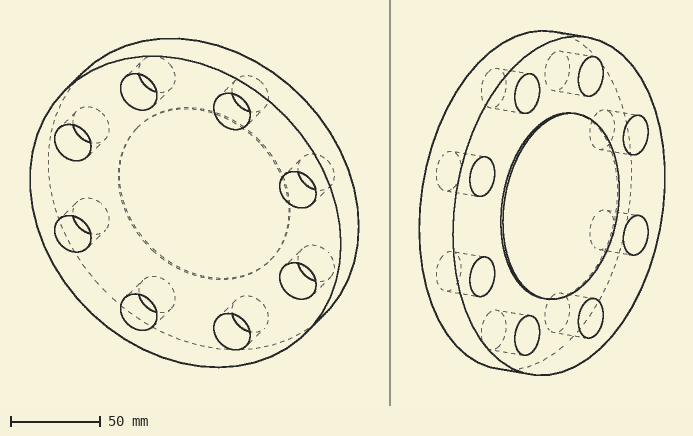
import cadquery as cq

flange_diameter = 190.5
total_thickness = 25.5
raised_face_diameter = 104.5
raised_face_height = 1.5
bolt_circle_diameter = 149.2
bolt_hole_diameter = 22.3
bolt_hole_count = 8

disc_thickness = total_thickness - raised_face_height
half_hole_pitch = 360 / bolt_hole_count / 2


def cylinder_along_y(diameter, length):
    """Solid cylinder from the plane Y = 0 toward +Y."""
    return cq.Workplane("XZ").circle(diameter / 2).extrude(-length)


disc = cylinder_along_y(flange_diameter, disc_thickness)
raised_face = cylinder_along_y(raised_face_diameter, total_thickness)

bolt_holes = (
    cq.Workplane("XZ")
    .polarArray(bolt_circle_diameter / 2, half_hole_pitch, 360, bolt_hole_count)
    .circle(bolt_hole_diameter / 2)
    .extrude(-total_thickness)
)

result = disc.union(raised_face).cut(bolt_holes)